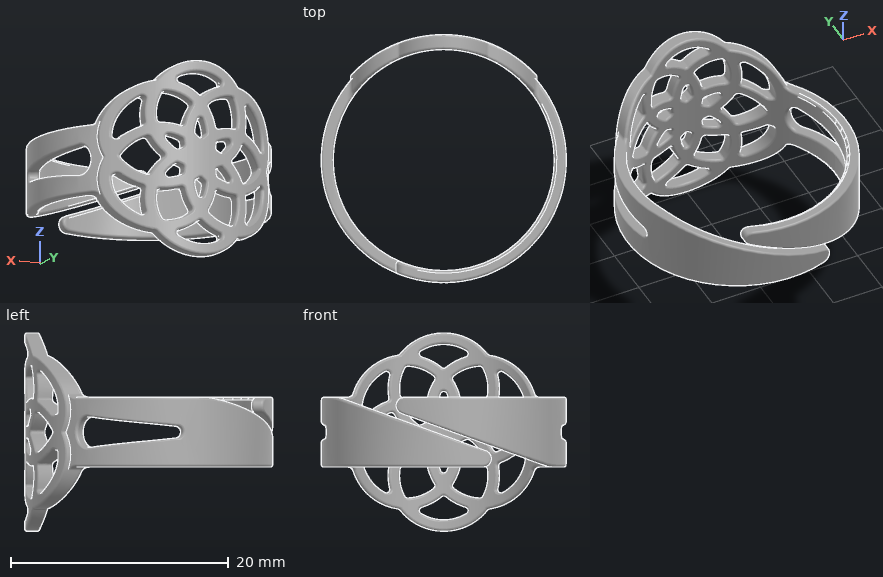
import cadquery as cq
import math


INNER_RADIUS = 10.15
BAND_RADIUS = 11.28
ROSETTE_RADIUS = 11.55
BAND_HALF_HEIGHT = 3.22
EDGE_FILLET = 0.25

RING_COUNT = 6
RING_STEP = 360 / RING_COUNT
FIRST_LOBE_ANGLE = RING_STEP / 2
RING_OFFSET = 4.0
RING_OUTER = 5.13
RING_INNER = 4.05
VALLEY_FILLET = 0.3
HOLE_CORNER_FILLET = 0.3
BAND_JOINT_FILLET = 0.5

LOBE_HOLE_DISTANCE = 7.0
DIAMOND_HOLE_DISTANCE = 5.0
PETAL_HOLE_DISTANCE = 2.4

FINGER_SLOPE = math.radians(20)
FINGER_GAP_HALF = 0.30
FINGER_TIP_RADIUS = 0.78
FINGER_ROOT_RADIUS = 2.5

SLOT_WIDE_END_Y = 6.72
SLOT_WIDE_RADIUS = 1.40
SLOT_NARROW_END_Y = -3.02
SLOT_NARROW_RADIUS = 0.53

REACH = 14.0
SLOT_NEAR_X = 7.0
SLOT_FAR_X = 12.0

EDGE_SAMPLES = (0, 0.37, 1)
TOLERANCE = 1e-3

ROSETTE_SEAT_RADIUS = (INNER_RADIUS + BAND_RADIUS) / 2


def polar(radius, angle):
    """Point in the XZ plane at the given angle in degrees from +X."""
    a = math.radians(angle)
    return (radius * math.cos(a), radius * math.sin(a))


def meeting_point(circle_a, circle_b, near):
    """Crossing of two (angle, radius) rosette circles that is closest to a point."""
    ax, az = polar(RING_OFFSET, circle_a[0])
    bx, bz = polar(RING_OFFSET, circle_b[0])
    span = math.hypot(bx - ax, bz - az)
    ux, uz = (bx - ax) / span, (bz - az) / span
    along = (span**2 + circle_a[1] ** 2 - circle_b[1] ** 2) / (2 * span)
    aside = math.sqrt(circle_a[1] ** 2 - along**2)
    crossings = [
        (ax + along * ux - side * uz, az + along * uz + side * ux)
        for side in (aside, -aside)
    ]
    return min(crossings, key=lambda p: math.dist(p, near))


def arc_middle(circle, start, end):
    """Point of the circle half way along its short arc from start to end."""
    cx, cz = polar(RING_OFFSET, circle[0])
    dx = (start[0] + end[0]) / 2 - cx
    dz = (start[1] + end[1]) / 2 - cz
    scale = circle[1] / math.hypot(dx, dz)
    return (cx + dx * scale, cz + dz * scale)


def arc_prism(circles, corners, corner_fillet):
    """Prism from y = 0 to +Y; circles[i] is the arc from corners[i] to the next corner."""
    outline = cq.Workplane("XZ").moveTo(*corners[0])
    for i, circle in enumerate(circles):
        end = corners[(i + 1) % len(corners)]
        outline = outline.threePointArc(arc_middle(circle, corners[i], end), end)
    return outline.close().extrude(-REACH).edges("|Y").fillet(corner_fillet)


def rosette_outline():
    """Solid six-lobed prism around the outside of the rings."""
    circles = [(FIRST_LOBE_ANGLE + k * RING_STEP, RING_OUTER) for k in range(RING_COUNT)]
    corners = []
    for k in range(RING_COUNT):
        valley = polar(RING_OFFSET + RING_OUTER, k * RING_STEP)
        corners.append(meeting_point(circles[k - 1], circles[k], valley))
    return arc_prism(circles, corners, VALLEY_FILLET)


def hole(axis_angle, distance, sides):
    """Opening centred at a polar position; sides are (angle from the axis, radius)."""
    middle = polar(distance, axis_angle)
    circles = [(axis_angle + angle, radius) for angle, radius in sides]
    corners = [
        meeting_point(circles[i - 1], circles[i], middle) for i in range(len(circles))
    ]
    return arc_prism(circles, corners, HOLE_CORNER_FILLET)


def rosette_holes():
    """Lobe, diamond and petal openings, six of each."""
    half_step = RING_STEP / 2
    lobe_sides = [(0, RING_INNER), (RING_STEP, RING_OUTER), (-RING_STEP, RING_OUTER)]
    diamond_sides = [
        (half_step, RING_INNER),
        (-half_step, RING_INNER),
        (3 * half_step, RING_OUTER),
        (-3 * half_step, RING_OUTER),
    ]
    petal_sides = [
        (RING_STEP, RING_INNER),
        (-2 * RING_STEP, RING_OUTER),
        (2 * RING_STEP, RING_OUTER),
        (-RING_STEP, RING_INNER),
    ]
    openings = [
        hole(FIRST_LOBE_ANGLE, LOBE_HOLE_DISTANCE, lobe_sides),
        hole(0, DIAMOND_HOLE_DISTANCE, diamond_sides),
        hole(FIRST_LOBE_ANGLE, PETAL_HOLE_DISTANCE, petal_sides),
    ]
    return [
        opening.val().rotate((0, 0, 0), (0, 1, 0), k * RING_STEP)
        for opening in openings
        for k in range(RING_COUNT)
    ]


def tube(inner, outer):
    """Tall tube around the ring axis."""
    floor = cq.Workplane("XY").workplane(offset=-REACH)
    return floor.circle(outer).circle(inner).extrude(2 * REACH)


def finger():
    """Wedge that runs from -X to its rounded tip, on the -Y half."""
    run = 1 / math.tan(FINGER_SLOPE)
    root_x = -(BAND_HALF_HEIGHT + FINGER_GAP_HALF) * run
    apex_x = (BAND_HALF_HEIGHT - FINGER_GAP_HALF) * run
    wedge = (
        cq.Workplane("XZ")
        .moveTo(-REACH, -BAND_HALF_HEIGHT)
        .lineTo(apex_x, -BAND_HALF_HEIGHT)
        .lineTo(root_x, BAND_HALF_HEIGHT)
        .lineTo(-REACH, BAND_HALF_HEIGHT)
        .close()
        .extrude(REACH)
    )
    wedge = wedge.edges("|Y and >X").fillet(FINGER_TIP_RADIUS)
    root = cq.selectors.NearestToPointSelector((root_x, -REACH / 2, BAND_HALF_HEIGHT))
    return wedge.edges(root).fillet(FINGER_ROOT_RADIUS)


def slot_section(x):
    """Teardrop on the plane at x; its ends lie on fixed rays from the ring axis."""

    def fanned(y):
        return x * math.tan(math.asin(y / BAND_RADIUS))

    wide_y = fanned(SLOT_WIDE_END_Y) - SLOT_WIDE_RADIUS
    narrow_y = fanned(SLOT_NARROW_END_Y) + SLOT_NARROW_RADIUS
    lean = (SLOT_WIDE_RADIUS - SLOT_NARROW_RADIUS) / (wide_y - narrow_y)
    rise = math.sqrt(1 - lean**2)

    def tangent_point(center_y, radius, side):
        return (center_y - radius * lean, side * radius * rise)

    outline = (
        cq.Workplane("YZ", origin=(x, 0, 0))
        .moveTo(*tangent_point(wide_y, SLOT_WIDE_RADIUS, -1))
        .threePointArc(
            (wide_y + SLOT_WIDE_RADIUS, 0), tangent_point(wide_y, SLOT_WIDE_RADIUS, 1)
        )
        .lineTo(*tangent_point(narrow_y, SLOT_NARROW_RADIUS, 1))
        .threePointArc(
            (narrow_y - SLOT_NARROW_RADIUS, 0),
            tangent_point(narrow_y, SLOT_NARROW_RADIUS, -1),
        )
        .close()
    )
    return outline.val()


def slot():
    """Teardrop cutter through the +X side of the band."""
    sections = [slot_section(SLOT_NEAR_X), slot_section(SLOT_FAR_X)]
    return cq.Workplane(cq.Solid.makeLoft(sections, True))


def rim_edges(body, radius):
    """Edges that lie on the cylinder of the given radius, without its seam."""
    rims = []
    for edge in body.edges().vals():
        points = [edge.positionAt(t) for t in EDGE_SAMPLES]
        on_wall = all(abs(math.hypot(p.x, p.y) - radius) < TOLERANCE for p in points)
        if on_wall and edge.geomType() != "LINE":
            rims.append(edge)
    return rims


def round_rims(body, *radii):
    """Round every edge on the cylinders of the given radii."""
    rims = [edge for radius in radii for edge in rim_edges(body, radius)]
    return body.newObject(rims).fillet(EDGE_FILLET)


def band(outline):
    """Thin wall: band, fingers and the seat of the rosette."""
    strip = cq.Workplane("XY").box(2 * REACH, REACH, 2 * BAND_HALF_HEIGHT)
    plate = outline.union(strip.translate((0, REACH / 2, 0)))
    lobe_x, lobe_z = polar(RING_OFFSET, FIRST_LOBE_ANGLE)
    joint_x = lobe_x + math.sqrt(RING_OUTER**2 - (BAND_HALF_HEIGHT - lobe_z) ** 2)
    for x in (-joint_x, joint_x):
        for z in (-BAND_HALF_HEIGHT, BAND_HALF_HEIGHT):
            corner = cq.selectors.NearestToPointSelector((x, REACH / 2, z))
            plate = plate.edges("|Y").edges(corner).fillet(BAND_JOINT_FILLET)
    low_finger = finger()
    high_finger = low_finger.rotate((0, 0, 0), (0, 1, 0), 180)
    body = plate.union(low_finger).union(high_finger)
    body = body.intersect(tube(INNER_RADIUS, BAND_RADIUS))
    body = body.cut(slot()).cut(slot().rotate((0, 0, 0), (0, 1, 0), 180))
    return round_rims(body, BAND_RADIUS)


rosette = rosette_outline()
raised_rosette = rosette.intersect(tube(ROSETTE_SEAT_RADIUS, ROSETTE_RADIUS))
ring = band(rosette).union(raised_rosette)
ring = cq.Workplane(ring.val().cut(*rosette_holes()))
ring = round_rims(ring, ROSETTE_RADIUS, INNER_RADIUS)
result = ring.solids()